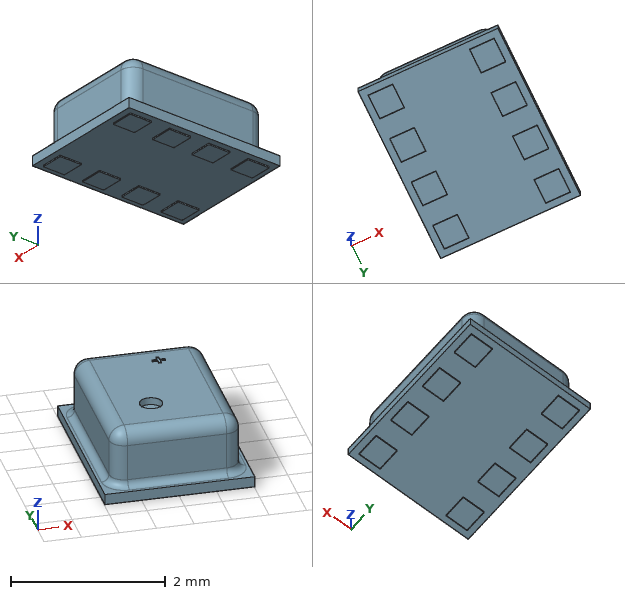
import cadquery as cq

board_length_x = 2.0
board_length_y = 2.5
board_thickness = 0.15

lid_height = 0.8
lid_edge_radius = 0.2
foot_flare_radius = 0.1
foot_margin = 0.04
lid_length_x = board_length_x - 2 * (foot_margin + foot_flare_radius)
lid_length_y = board_length_y - 2 * (foot_margin + foot_flare_radius)
lid_top = board_thickness + lid_height

port_diameter = 0.3
port_depth = 0.1
port_center = (-0.175, -0.42)

mark_length_x = 0.175
mark_length_y = 0.155
mark_bar_width = 0.035
mark_depth = 0.01
mark_center = (0.21, 0.705)

pad_size = 0.35
pad_thickness = 0.02
pad_columns = 2
pad_rows = 4
pad_pitch_x = 1.45
pad_pitch_y = 0.65


def make_housing():
    """Board and lid as one body, with the lid edges rounded and its foot flared."""
    board = cq.Workplane("XY").box(
        board_length_x, board_length_y, board_thickness, centered=(True, True, False)
    )
    lid = (
        cq.Workplane("XY", origin=(0, 0, board_thickness))
        .box(lid_length_x, lid_length_y, lid_height, centered=(True, True, False))
        .edges("|Z or >Z")
        .fillet(lid_edge_radius)
    )
    foot_x = lid_length_x / 2 + foot_margin
    foot_y = lid_length_y / 2 + foot_margin
    foot_outline = cq.selectors.BoxSelector(
        (-foot_x, -foot_y, board_thickness - foot_margin),
        (foot_x, foot_y, board_thickness + foot_margin),
    )
    return board.union(lid).edges(foot_outline).fillet(foot_flare_radius)


def make_port():
    """Round blind port cut down from the lid top."""
    return (
        cq.Workplane("XY", origin=(*port_center, lid_top))
        .circle(port_diameter / 2)
        .extrude(-port_depth)
    )


def make_polarity_mark():
    """Two crossed bars cut down from the lid top."""
    plane = cq.Workplane("XY", origin=(*mark_center, lid_top))
    bar_x = plane.rect(mark_length_x, mark_bar_width).extrude(-mark_depth)
    bar_y = plane.rect(mark_bar_width, mark_length_y).extrude(-mark_depth)
    return bar_x.union(bar_y)


def make_pads():
    """Grid of solder pads below the board."""
    return (
        cq.Workplane("XY")
        .rarray(pad_pitch_x, pad_pitch_y, pad_columns, pad_rows)
        .rect(pad_size, pad_size)
        .extrude(-pad_thickness)
    )


result = make_housing().cut(make_port()).cut(make_polarity_mark()).union(make_pads())